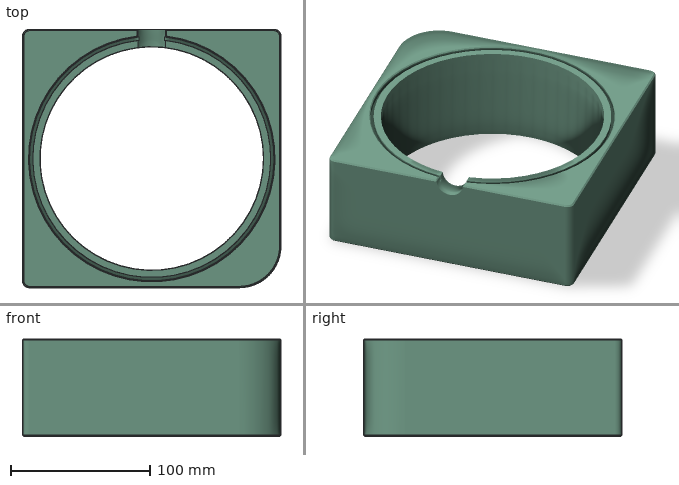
import cadquery as cq

side = 185.5
height = 70.0
small_corner_radius = 5.0
large_corner_radius = 30.0
edge_chamfer = 1.0

rim_chamfer = 0.7

bore_diameter = 160.3
land_diameter = 170.7
groove_diameter = 175.5
land_depth = 1.0
groove_depth = 4.0

notch_radius = 10.0


def make_block():
    block = cq.Workplane("XY").box(side, side, height, centered=(True, True, False))
    block = block.edges("|Z and (<X or >Y)").fillet(small_corner_radius)
    block = block.edges("|Z and >X and <Y").fillet(large_corner_radius)
    return block.faces("<Z or >Z").edges().chamfer(edge_chamfer)


def round_cutter(diameter, depth):
    """Cylinder reaching down from the top face to the given depth."""
    return cq.Workplane("XY").workplane(offset=height - depth).circle(diameter / 2).extrude(depth)


def make_groove_rim():
    """Cone that breaks the sharp outer edge of the groove."""
    groove_radius = groove_diameter / 2
    return (
        cq.Workplane("XZ")
        .moveTo(0, height)
        .lineTo(groove_radius + rim_chamfer, height)
        .lineTo(groove_radius, height - rim_chamfer)
        .lineTo(0, height - rim_chamfer)
        .close()
        .revolve(360, (0, 0, 0), (0, 1, 0))
    )


def make_notch():
    """Cylinder along Y, centred on the top face, from the bore to the +Y side."""
    return cq.Workplane("XZ").center(0, height).circle(notch_radius).extrude(-side / 2)


def make_notch_rim():
    """Tapered strip that breaks the two top edges of the notch."""
    return (
        cq.Workplane("XZ")
        .moveTo(-notch_radius - rim_chamfer, height)
        .lineTo(notch_radius + rim_chamfer, height)
        .lineTo(notch_radius, height - rim_chamfer)
        .lineTo(-notch_radius, height - rim_chamfer)
        .close()
        .extrude(-side / 2)
    )


bore = round_cutter(bore_diameter, height)
land = round_cutter(land_diameter, land_depth)
groove = round_cutter(groove_diameter, groove_depth).cut(round_cutter(land_diameter, groove_depth))

result = make_block().cut(bore).cut(land).cut(groove).cut(make_groove_rim())
result = result.cut(make_notch()).cut(make_notch_rim())